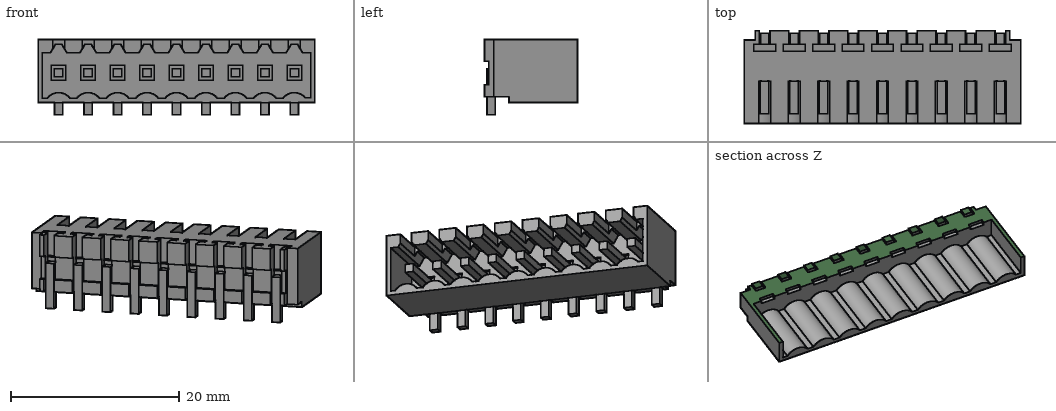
import cadquery as cq

pole_count = 9
row_length = 32.9
total_depth = 11.05
total_height = 8.95
pin_span = 28.0
pitch = pin_span / (pole_count - 1)
first_pin_x = (row_length - pin_span) / 2
pin_positions = [first_pin_x + i * pitch for i in range(pole_count)]

pin_width = 1.02
pin_thickness = 1.0
pin_front_gap = 1.2
pin_rear_gap = 0.3
pin_top_depth = 3.45
pin_rear_y = total_depth - pin_rear_gap
pin_top_z = total_height - pin_top_depth
pin_axis_z = pin_top_z - pin_thickness / 2

housing_height = 7.5
end_wall = 0.53
floor_thickness = 0.5
housing_bottom_z = total_height - housing_height
standoff_height = 0.7
standoff_length = 2.9
rear_strip_depth = 1.1
rear_strip_inset = 1.3
main_depth = total_depth - rear_strip_depth

cavity_depth = 7.5
ceiling_depth = 1.58
cavity_floor_z = housing_bottom_z + floor_thickness
cavity_ceiling_z = total_height - ceiling_depth

groove_top_depth = 0.6
groove_mouth_width = 1.95
groove_top_width = 0.75
top_slot_width = 1.4
top_slot_length = 5.07

rib_width = 2.73
rib_height = 0.7

end_step_height = 0.1

recess_size = 1.75
recess_depth = 0.5

neck_width = 1.25
neck_length = 1.6
t_bar_width = 2.6
t_bar_length = 0.82
pin_cover = 0.5
t_bar_depth = pin_top_depth - pin_cover
rear_groove_top_depth = 2.6
rear_groove_height = 2.75
rear_groove_depth = 0.5


def block(x_range, y_range, z_range):
    """Box between the given limits on each axis."""
    (x0, x1), (y0, y1), (z0, z1) = x_range, y_range, z_range
    return cq.Workplane("XY").box(x1 - x0, y1 - y0, z1 - z0, centered=False).translate((x0, y0, z0))


def centred_range(centre, width):
    """Limits of a width centred on a coordinate."""
    return (centre - width / 2, centre + width / 2)


def along_cavity(sketch):
    """Extrude an XZ profile from the mating face to the back of the cavity."""
    return sketch.extrude(-cavity_depth)


def make_shell():
    """Closed block with the narrower rear strip and the raised rear underside."""
    full_z = (housing_bottom_z, total_height)
    main = block((0, row_length), (0, main_depth), full_z)
    strip_x = (rear_strip_inset, row_length - rear_strip_inset)
    strip = block(strip_x, (main_depth, total_depth), full_z)
    standoff_y = (total_depth - standoff_length, total_depth)
    standoff_z = (housing_bottom_z, housing_bottom_z + standoff_height)
    return main.union(strip).cut(block((0, row_length), standoff_y, standoff_z))


def make_cavity():
    """Space for the mating plug, before the grooves and ribs."""
    return block((end_wall, row_length - end_wall), (0, cavity_depth), (cavity_floor_z, cavity_ceiling_z))


def make_groove(x):
    """Tapered coding groove in the ceiling together with its slot through the top."""
    groove_top_z = total_height - groove_top_depth
    profile = cq.Workplane("XZ").polyline([
        (x - groove_mouth_width / 2, cavity_ceiling_z),
        (x - groove_top_width / 2, groove_top_z),
        (x + groove_top_width / 2, groove_top_z),
        (x + groove_mouth_width / 2, cavity_ceiling_z),
    ]).close()
    slot = block(centred_range(x, top_slot_width), (0, top_slot_length), (cavity_ceiling_z, total_height))
    return along_cavity(profile).union(slot)


def make_rib(x):
    """Circular-segment rib along the cavity floor."""
    profile = (
        cq.Workplane("XZ")
        .moveTo(x - rib_width / 2, cavity_floor_z)
        .threePointArc((x, cavity_floor_z + rib_height), (x + rib_width / 2, cavity_floor_z))
        .close()
    )
    return along_cavity(profile)


def make_end_step():
    """Slightly raised floor between the middle of the last rib and the end wall at +X."""
    return block(
        (pin_positions[-1], row_length - end_wall),
        (0, cavity_depth),
        (cavity_floor_z, cavity_floor_z + end_step_height),
    )


def make_recess(x):
    """Square recess around a pin in the back wall of the cavity."""
    return block(
        centred_range(x, recess_size),
        (cavity_depth, cavity_depth + recess_depth),
        centred_range(pin_axis_z, recess_size),
    )


def make_t_slot(x):
    """Rear slot for a pin: an open neck over the full height and a wider blind bar."""
    neck_y = total_depth - neck_length
    neck = block(centred_range(x, neck_width), (neck_y, total_depth), (housing_bottom_z, total_height))
    bar = block(
        centred_range(x, t_bar_width),
        (neck_y - t_bar_length, neck_y),
        (total_height - t_bar_depth, total_height),
    )
    return neck.union(bar)


def make_rear_groove():
    """Shallow groove along the whole rear face."""
    top_z = total_height - rear_groove_top_depth
    return block(
        (0, row_length),
        (total_depth - rear_groove_depth, total_depth),
        (top_z - rear_groove_height, top_z),
    )


def make_pin(x):
    """Right-angled pin: a horizontal contact and a lead going down at the rear."""
    x_range = centred_range(x, pin_width)
    contact = block(x_range, (pin_front_gap, pin_rear_y), (pin_top_z - pin_thickness, pin_top_z))
    lead = block(x_range, (pin_rear_y - pin_thickness, pin_rear_y), (0, pin_top_z))
    return contact.union(lead)


def make_housing():
    """Housing with its cavity, grooves, ribs, rear slots and pin holes."""
    body = make_shell().cut(make_cavity()).cut(make_rear_groove()).union(make_end_step())
    for x in pin_positions:
        body = body.union(make_rib(x))
        for opening in (make_groove(x), make_recess(x), make_t_slot(x), make_pin(x)):
            body = body.cut(opening)
    return body


housing = make_housing().solids()
pins = [make_pin(x) for x in pin_positions]

result = cq.Compound.makeCompound([housing.val(), *[pin.solids().val() for pin in pins]])